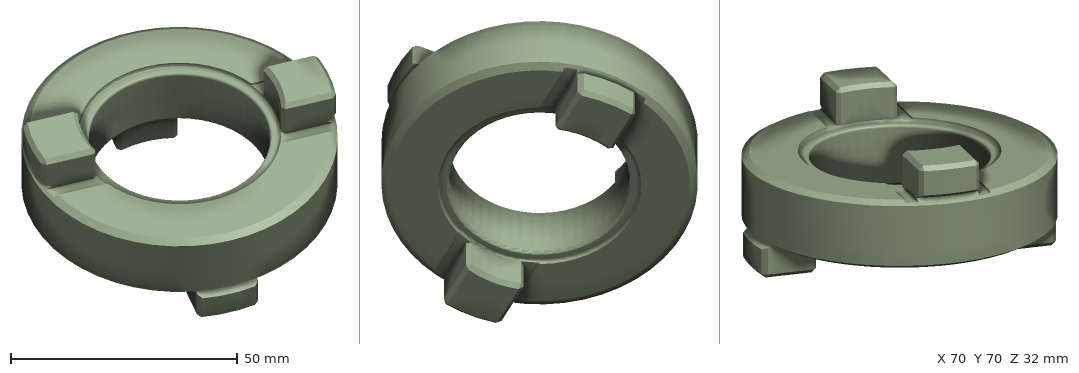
import cadquery as cq
import math

outer_radius = 35.0
bore_radius = 20.0
ring_height = 15.95
total_height = 32.0
half_height = ring_height / 2

relief_depth = 2.0
relief_angle = 30
rim_drop = 1.0
relief_rise = relief_depth * math.tan(math.radians(relief_angle))

step_radius = 22.55
step_depth = 1.0
step_fillet = 0.6
bore_fillet = 0.6

tooth_width = 14.2
tooth_height = (total_height - ring_height) / 2
tooth_chamfer = 1.0

channel_width = 20.0
channel_depth = 0.5


def make_ring():
    """Plain ring with an axial bore."""
    blank = cq.Workplane("XY").circle(outer_radius).circle(bore_radius).extrude(ring_height)
    return blank.translate((0, 0, -half_height))


def make_channel():
    """Cutter for the channel along Y in the top face."""
    floor = cq.Workplane("XY").workplane(offset=half_height - channel_depth)
    return floor.rect(channel_width, 2 * outer_radius).extrude(tooth_height)


def make_tooth():
    """Tooth on the +Y side of the top face, with arc-shaped outer and inner sides."""
    half_width = tooth_width / 2
    outer_corner = math.sqrt(outer_radius**2 - half_width**2)
    inner_corner = math.sqrt(step_radius**2 - half_width**2)
    root = half_height - rim_drop
    tooth = (
        cq.Workplane("XY")
        .workplane(offset=root)
        .moveTo(-half_width, inner_corner)
        .lineTo(-half_width, outer_corner)
        .threePointArc((0, outer_radius), (half_width, outer_corner))
        .lineTo(half_width, inner_corner)
        .threePointArc((0, step_radius), (-half_width, inner_corner))
        .close()
        .extrude(half_height + tooth_height - root)
    )
    return tooth.edges("|Z or >Z").chamfer(tooth_chamfer)


def make_relief():
    """Cutter for the V-shaped relief at the top rim."""
    start = half_height - rim_drop
    profile = (
        cq.Workplane("XZ")
        .moveTo(outer_radius, start)
        .lineTo(outer_radius - relief_depth, start + relief_rise)
        .lineTo(outer_radius, start + 2 * relief_rise)
        .lineTo(outer_radius + relief_depth, start + 2 * relief_rise)
        .lineTo(outer_radius + relief_depth, start)
        .close()
    )
    return profile.revolve(360, (0, 0), (0, 1))


def make_bore_mouth():
    """Cutter for the step at the top of the bore, with a filleted floor and a rounded bore edge."""
    floor = half_height - step_depth
    diagonal = math.sqrt(0.5)
    step_centre = step_radius - step_fillet
    round_centre = bore_radius + bore_fillet
    profile = (
        cq.Workplane("XZ")
        .moveTo(0, half_height)
        .lineTo(step_radius, half_height)
        .lineTo(step_radius, floor + step_fillet)
        .threePointArc(
            (step_centre + diagonal * step_fillet, floor + step_fillet - diagonal * step_fillet),
            (step_centre, floor),
        )
        .lineTo(round_centre, floor)
        .threePointArc(
            (round_centre - diagonal * bore_fillet, floor - bore_fillet + diagonal * bore_fillet),
            (bore_radius, floor - bore_fillet),
        )
        .lineTo(0, floor - bore_fillet)
        .close()
    )
    return profile.revolve(360, (0, 0), (0, 1))


def to_bottom(shape):
    """Move a feature of the top face to the bottom face, turned a quarter turn."""
    return shape.rotate((0, 0, 0), (1, 0, 0), 180).rotate((0, 0, 0), (0, 0, 1), 90)


def on_both_faces(shape):
    """Pair a feature of the top face with its copy on the bottom face."""
    return [shape, to_bottom(shape)]


relief = make_relief()
tooth = make_tooth().cut(relief)
opposite_tooth = tooth.rotate((0, 0, 0), (0, 0, 1), 180)

result = make_ring()
for cutter in (relief, make_bore_mouth(), make_channel()):
    for placed_cutter in on_both_faces(cutter):
        result = result.cut(placed_cutter)
for pair_half in (tooth, opposite_tooth):
    for placed_tooth in on_both_faces(pair_half):
        result = result.union(placed_tooth)